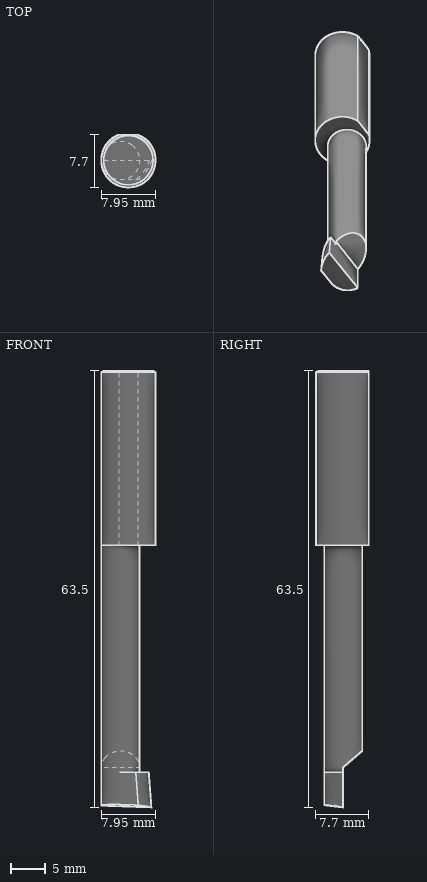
import cadquery as cq

total_length = 63.5
shank_diameter = 7.95
shank_length = 25.4
shank_flat_depth = 0.25
chamfer_width = 0.4
chamfer_height = 0.25
shank_radius = shank_diameter / 2
shoulder_z = total_length - shank_length

neck_diameter = 5.6
neck_radius = neck_diameter / 2
neck_x = neck_radius - shank_radius

relief_z = 5.85
runout_height = 2.4

head_height = 5.15
head_reach = 3.35
flank_lean = 0.4
bevel_setback = 1.2
bevel_size = 0.7
flank_middle_setback = 0.45
flank_middle_y = -1.1

end_slope_x = 0.035
end_slope_y = 0.1


def make_shank():
    body = cq.Workplane("XY").workplane(offset=shoulder_z).circle(shank_radius).extrude(shank_length)
    body = body.faces(">Z").edges().chamfer(chamfer_height, chamfer_width)
    side_flat = (
        cq.Workplane("XY")
        .workplane(offset=shoulder_z)
        .center(0, shank_radius - shank_flat_depth)
        .rect(shank_diameter, shank_diameter)
        .extrude(shank_length)
        .translate((0, shank_radius, 0))
    )
    return body.cut(side_flat)


def make_neck():
    return cq.Workplane("XY").center(neck_x, 0).circle(neck_radius).extrude(shoulder_z)


def head_section(z, reach):
    """Closed head outline at one height; reach is the X of the cutting edge."""
    outline = (
        cq.Workplane("XY")
        .workplane(offset=z)
        .moveTo(neck_x, 0)
        .lineTo(neck_x, -neck_radius)
        .lineTo(reach - bevel_setback - bevel_size, -neck_radius)
        .lineTo(reach - bevel_setback, bevel_size - neck_radius)
        .threePointArc((reach - flank_middle_setback, flank_middle_y), (reach, 0))
        .close()
    )
    return outline.val()


def make_head():
    sections = [head_section(0, head_reach), head_section(head_height, head_reach - flank_lean)]
    return cq.Workplane(cq.Solid.makeLoft(sections, True))


def make_relief():
    """Everything beyond the tool's mid-plane, bounded above by the run-out slope."""
    return (
        cq.Workplane("YZ")
        .polyline([(0, 0), (0, relief_z), (neck_radius, relief_z + runout_height), (neck_radius, 0)])
        .close()
        .extrude(shank_radius, both=True)
    )


def make_end_clearance():
    """Block below the end face, which is lowest at the tip of the cutting edge."""
    end_plane = cq.Plane(
        origin=(head_reach, 0, 0), xDir=(1, 0, -end_slope_x), normal=(end_slope_x, end_slope_y, 1)
    )
    block_side = 4 * shank_diameter
    return cq.Workplane(end_plane).rect(block_side, block_side).extrude(-shank_diameter)


result = (
    make_shank()
    .union(make_neck().cut(make_relief()))
    .union(make_head())
    .cut(make_end_clearance())
)